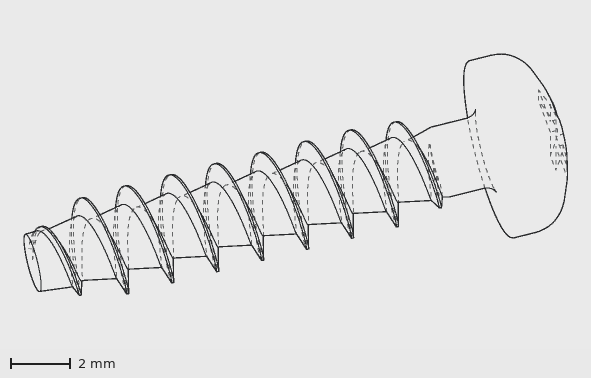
import cadquery as cq
import math


total_length = 18.44
head_height = 2.47
head_diameter = 6.1
crown_radius = 5.16
corner_radius = 1.2
rim_fillet = 0.1

slot_width = 0.63
slot_depth = 0.25

neck_fillet = 0.5
shank_diameter = 2.42
shank_length = 1.73
core_radius = 0.98
run_in_length = 0.85
tip_crown = 0.04

pitch = 1.57
thread_diameter = 3.52
crest_width = 0.07
base_half_width = 0.24
end_width_share = 0.4
ridge_radius = 1.18
first_crest_depth = 2.23
lead_in_turns = 0.85
fade_in_end = 3.32
fade_in_slope = 0.22
fade_out_start = 13.74
fade_out_end = 15.77
bury_depth = 0.11
tail_bury_depth = 0.004
turn_gap = 0.01
points_per_turn = 24
points_per_piece = 12

crown_drop = crown_radius - math.sqrt(crown_radius**2 - slot_width**2 / 2)
apex_height = head_height + crown_drop
head_radius = head_diameter / 2
shank_radius = shank_diameter / 2
thread_radius = thread_diameter / 2
tip_depth = total_length - head_height
buried_radius = core_radius - bury_depth
tail_radius = core_radius - tail_bury_depth
tail_offset = pitch - base_half_width - turn_gap
last_turn = (fade_out_end - first_crest_depth) / pitch


def make_head():
    """Cylinder rim, rounded corner and spherical crown, all tangent to each other."""
    crown_centre = apex_height - crown_radius
    corner_x = head_radius - corner_radius
    centre_distance = crown_radius - corner_radius
    corner_y = crown_centre + math.sqrt(centre_distance**2 - corner_x**2)
    blend_angle = math.asin(corner_x / centre_distance)
    corner_mid_angle = (blend_angle + math.pi / 2) / 2

    def crown_point(angle):
        return crown_radius * math.sin(angle), crown_centre + crown_radius * math.cos(angle)

    corner_mid = (
        corner_x + corner_radius * math.sin(corner_mid_angle),
        corner_y + corner_radius * math.cos(corner_mid_angle),
    )
    head = (
        cq.Workplane("XY")
        .lineTo(head_radius, 0)
        .lineTo(head_radius, corner_y)
        .threePointArc(corner_mid, crown_point(blend_angle))
        .threePointArc(crown_point(blend_angle / 2), (0, apex_height))
        .close()
        .revolve(360, (0, 0, 0), (0, 1, 0))
    )
    return head.faces("<Y").edges().fillet(rim_fillet)


def make_cross_recess():
    """Two crossed slots that run out through the crown."""
    arm_length = 2 * head_radius
    cut_height = 2 * slot_depth
    floor = head_height - slot_depth
    slot = cq.Workplane("XY").box(arm_length, cut_height, slot_width)
    slot = slot.translate((0, floor + cut_height / 2, 0))
    return slot.union(slot.rotate((0, 0, 0), (0, 1, 0), 90))


def make_shank():
    """Neck fillet under the head and the plain shank."""
    fillet_mid = neck_fillet * (1 - math.sqrt(0.5))
    return (
        cq.Workplane("XY")
        .lineTo(shank_radius + neck_fillet, 0)
        .threePointArc((shank_radius + fillet_mid, -fillet_mid), (shank_radius, -neck_fillet))
        .lineTo(shank_radius, -shank_length)
        .lineTo(0, -shank_length)
        .close()
        .revolve(360, (0, 0, 0), (0, 1, 0))
    )


def thread_section(depth):
    """Corners (radius, offset towards the tip) of the thread and the sloping core behind it."""
    height_share = (fade_out_end - depth) / (fade_out_end - fade_out_start)
    fade_out = max(0.0, min(1.0, height_share))
    ridge = core_radius + (ridge_radius - core_radius) * fade_out
    crest = core_radius + (thread_radius - core_radius) * fade_out
    crest -= fade_in_slope * max(0.0, fade_in_end - depth)
    crest = max(crest, ridge)
    half_crest = crest_width / 2
    width_share = end_width_share + (1 - end_width_share) * fade_out
    half_base = half_crest + (base_half_width - half_crest) * width_share
    return [
        (buried_radius, -half_base),
        (crest, -half_crest),
        (crest, half_crest),
        (ridge, half_base),
        (tail_radius, tail_offset),
        (buried_radius, tail_offset),
    ]


def make_thread():
    """Solid bounded by ruled faces between the helical paths of the section corners."""
    pieces = math.ceil((last_turn + lead_in_turns) * points_per_turn / points_per_piece)
    steps = pieces * points_per_piece
    paths = [[] for _ in thread_section(0)]
    for step in range(steps + 1):
        turn = -lead_in_turns + (last_turn + lead_in_turns) * step / steps
        angle = 2 * math.pi * turn
        depth = first_crest_depth + pitch * turn
        for path, (radius, offset) in zip(paths, thread_section(depth)):
            path.append(cq.Vector(radius * math.cos(angle), -depth - offset, radius * math.sin(angle)))

    faces = []
    for first in range(0, steps, points_per_piece):
        piece = slice(first, first + points_per_piece + 1)
        edges = [cq.Edge.makeSpline(path[piece]) for path in paths]
        for edge, next_edge in zip(edges, edges[1:] + edges[:1]):
            faces.append(cq.Face.makeRuledSurface(edge, next_edge))
    for end in (0, -1):
        outline = cq.Wire.makePolygon([path[end] for path in paths], close=True)
        faces.append(cq.Face.makeFromWires(outline))
    return cq.Workplane(cq.Solid.makeSolid(cq.Shell.makeShell(faces)))


def make_threaded_length():
    """Core with its thread, trimmed flat at the end of the plain shank and domed at the tip."""
    core_top = -shank_length / 2
    core = (
        cq.Workplane("XY", origin=(0, core_top, 0))
        .lineTo(shank_radius, 0)
        .lineTo(shank_radius, -shank_length - core_top)
        .lineTo(core_radius, -shank_length - run_in_length - core_top)
        .lineTo(core_radius, -total_length)
        .lineTo(0, -total_length)
        .close()
        .revolve(360, (0, 0, 0), (0, 1, 0))
    )
    dome_radius = (core_radius**2 + tip_crown**2) / (2 * tip_crown)
    trim_length = tip_depth - shank_length
    trim = cq.Workplane("XZ", origin=(0, -shank_length, 0)).circle(head_radius).extrude(trim_length)
    dome = cq.Workplane("XY").sphere(dome_radius).translate((0, dome_radius - tip_depth, 0))
    return core.union(make_thread()).intersect(trim).intersect(dome)


head = make_head().cut(make_cross_recess())
result = head.union(make_shank()).union(make_threaded_length())